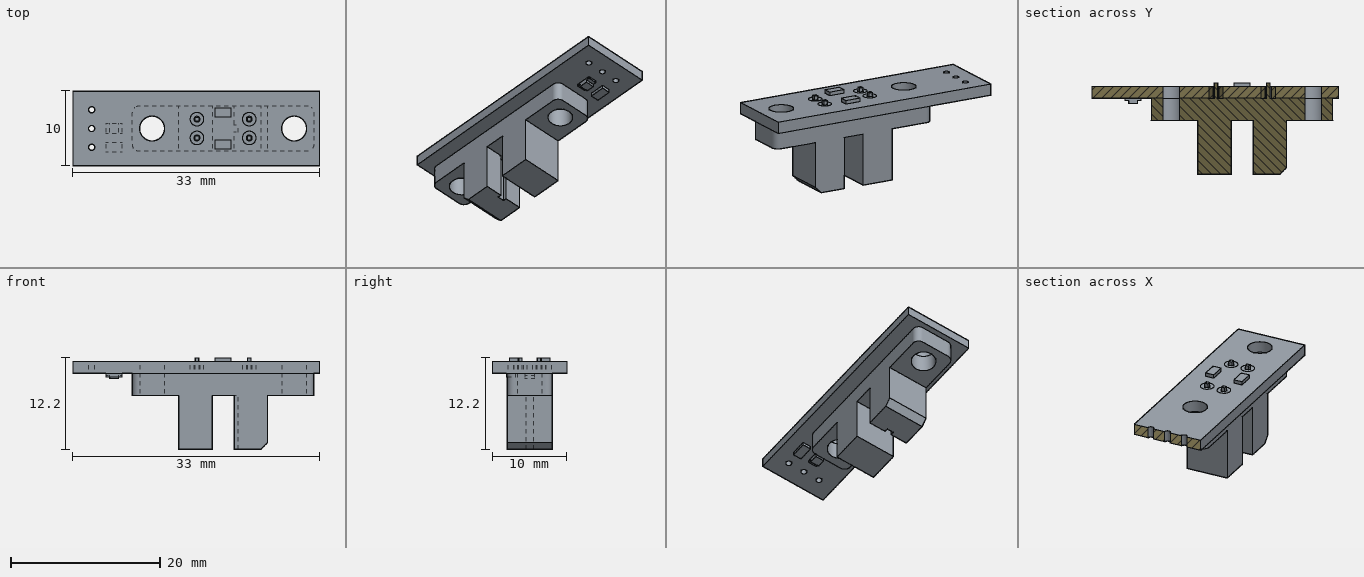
import cadquery as cq


BOARD_LENGTH = 33.0
BOARD_WIDTH = 10.0
BOARD_THICKNESS = 1.6
SENSOR_X = 3.6

SMALL_HOLE_DIAMETER = 0.8
HEADER_PITCH = 2.5
HEADER_COUNT = 3
HEADER_EDGE_DISTANCE = 2.5
HEADER_X = HEADER_EDGE_DISTANCE - BOARD_LENGTH / 2

MOUNT_HOLE_DIAMETER = 3.3
MOUNT_HOLE_SPACING = 19.0

FLANGE_LENGTH = 24.32
FLANGE_HEIGHT = 2.97
FLANGE_CORNER_RADIUS = 0.92
HOUSING_WIDTH = 6.05
HOUSING_HEIGHT = 10.15
LEGS_LENGTH = 11.9
LEFT_LEG_LENGTH = 4.52
LEG_GAP = 2.9
LEG_CHAMFER = 0.9
APERTURE_WIDTH = 1.0
APERTURE_DEPTH = 0.5

PIN_SIZE = 0.5
PIN_PROTRUSION = 0.5
PIN_SPACING_X = 7.0
PIN_SPACING_Y = HEADER_PITCH
PAD_DIAMETER = 1.8

CHIP_LENGTH = 2.18
CHIP_WIDTH = 1.22
CHIP_HEIGHT = 0.5
TOP_CHIP_SPACING = 4.25
LOWER_CHIP_EDGE_DISTANCE = 5.5
LOWER_CHIP_X = LOWER_CHIP_EDGE_DISTANCE - BOARD_LENGTH / 2
LOWER_CHIP_Y = -2.5

LAMP_WIDTH = 1.3
LAMP_BASE_HEIGHT = 0.3
LAMP_HEIGHT = 0.7
LENS_LENGTH = 1.2

MOUNT_POINTS = [(SENSOR_X + side * MOUNT_HOLE_SPACING / 2, 0) for side in (-1, 1)]
HEADER_POINTS = [(HEADER_X, (i - (HEADER_COUNT - 1) / 2) * HEADER_PITCH) for i in range(HEADER_COUNT)]
PIN_POINTS = [
    (SENSOR_X + side_x * PIN_SPACING_X / 2, side_y * PIN_SPACING_Y / 2)
    for side_x in (-1, 1)
    for side_y in (-1, 1)
]


def block(length, width, height, x, y, bottom):
    """Box centred on (x, y) and standing on the height `bottom`."""
    return cq.Workplane("XY").box(length, width, height, centered=(True, True, False)).translate((x, y, bottom))


def cylinders(points, diameter, bottom, top):
    """Upright cylinders at the given points."""
    return cq.Workplane("XY", origin=(0, 0, bottom)).pushPoints(points).circle(diameter / 2).extrude(top - bottom)


def make_board():
    board = block(BOARD_LENGTH, BOARD_WIDTH, BOARD_THICKNESS, 0, 0, 0)
    board = board.cut(cylinders(MOUNT_POINTS, MOUNT_HOLE_DIAMETER, 0, BOARD_THICKNESS))
    board = board.cut(cylinders(HEADER_POINTS, SMALL_HOLE_DIAMETER, 0, BOARD_THICKNESS))
    return board.cut(cylinders(PIN_POINTS, PAD_DIAMETER, 0, BOARD_THICKNESS))


def make_pad(x, y):
    """Ring pad filling its board hole, flush with both faces, with clearance around the pin."""
    pad = cylinders([(x, y)], PAD_DIAMETER, 0, BOARD_THICKNESS)
    return pad.cut(cylinders([(x, y)], SMALL_HOLE_DIAMETER, 0, BOARD_THICKNESS))


def make_housing():
    """Slotted sensor: flange with mounting holes, two legs and four upright square pins."""
    flange = block(FLANGE_LENGTH, HOUSING_WIDTH, FLANGE_HEIGHT, SENSOR_X, 0, -FLANGE_HEIGHT)
    flange = flange.edges("|Z").fillet(FLANGE_CORNER_RADIUS)
    flange = flange.cut(cylinders(MOUNT_POINTS, MOUNT_HOLE_DIAMETER, -FLANGE_HEIGHT, 0))

    leg_height = HOUSING_HEIGHT - FLANGE_HEIGHT
    right_leg_length = LEGS_LENGTH - LEFT_LEG_LENGTH - LEG_GAP
    left_leg_x = SENSOR_X - (LEGS_LENGTH - LEFT_LEG_LENGTH) / 2
    right_leg_x = SENSOR_X + (LEGS_LENGTH - right_leg_length) / 2
    left_leg = block(LEFT_LEG_LENGTH, HOUSING_WIDTH, leg_height, left_leg_x, 0, -HOUSING_HEIGHT)
    right_leg = block(right_leg_length, HOUSING_WIDTH, leg_height, right_leg_x, 0, -HOUSING_HEIGHT)
    right_leg = right_leg.edges(">X and <Z").chamfer(LEG_CHAMFER)
    aperture_x = right_leg_x - right_leg_length / 2 + APERTURE_DEPTH / 2
    right_leg = right_leg.cut(block(APERTURE_DEPTH, APERTURE_WIDTH, leg_height, aperture_x, 0, -HOUSING_HEIGHT))

    housing = flange.union(left_leg).union(right_leg)
    for x, y in PIN_POINTS:
        housing = housing.union(block(PIN_SIZE, PIN_SIZE, BOARD_THICKNESS + PIN_PROTRUSION, x, y, 0))
    return housing


def make_chip(x, y, bottom):
    return block(CHIP_LENGTH, CHIP_WIDTH, CHIP_HEIGHT, x, y, bottom)


def make_lamp():
    base = block(CHIP_LENGTH, LAMP_WIDTH, LAMP_BASE_HEIGHT, LOWER_CHIP_X, 0, -LAMP_BASE_HEIGHT)
    lens_height = LAMP_HEIGHT - LAMP_BASE_HEIGHT
    lens = block(LENS_LENGTH, LAMP_WIDTH, lens_height, LOWER_CHIP_X, 0, -LAMP_HEIGHT)
    return base.union(lens)


board = make_board()
housing = make_housing()
pads = [make_pad(x, y) for x, y in PIN_POINTS]
top_chips = [make_chip(SENSOR_X, side * TOP_CHIP_SPACING / 2, BOARD_THICKNESS) for side in (-1, 1)]
lower_chip = make_chip(LOWER_CHIP_X, LOWER_CHIP_Y, -CHIP_HEIGHT)
lamp = make_lamp()

result = cq.Compound.makeCompound([
    board.val(),
    housing.val(),
    *[pad.val() for pad in pads],
    *[chip.val() for chip in top_chips],
    lower_chip.val(),
    lamp.val(),
])